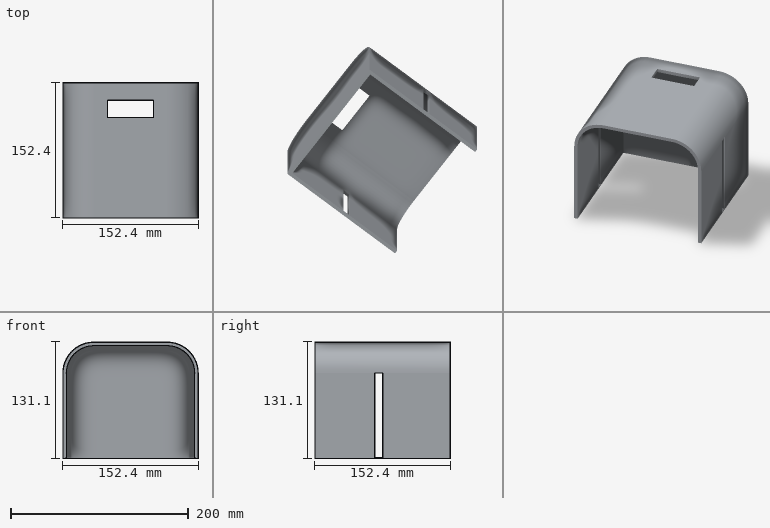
import cadquery as cq

width = 152.4
depth = 152.4
height = 131.1

wall = 4.0
outer_radius = 35.0
inner_radius = outer_radius - wall

slot_width = 8.75
slot_back_y = 0.0
sill_height = 1.0
slot_top_z = height - outer_radius

window_length = 51.3
window_width = 19.2
window_back_margin = 20.0


def arch_block(block_width, block_height, radius, length):
    """Block with rounded upper long edges, its rear face at the back of the part."""
    return (
        cq.Workplane("XY")
        .box(block_width, length, block_height, centered=(True, False, False))
        .translate((0, depth / 2 - length, 0))
        .edges("|Y and >Z")
        .fillet(radius)
    )


def make_shell():
    """Round-shouldered cover, open at the front and bottom, closed at the back."""
    outer = arch_block(width, height, outer_radius, depth)
    cavity = arch_block(width - 2 * wall, height - wall, inner_radius, depth).translate((0, -wall, 0))
    return outer.cut(cavity)


def make_side_slots():
    """Single bar that pierces both side walls."""
    return (
        cq.Workplane("XY")
        .box(width, slot_width, slot_top_z - sill_height, centered=(True, False, False))
        .translate((0, slot_back_y - slot_width, sill_height))
    )


def make_roof_window():
    """Block that pierces the roof near the back wall."""
    return (
        cq.Workplane("XY")
        .box(window_length, window_width, wall, centered=(True, False, False))
        .translate((0, depth / 2 - window_back_margin - window_width, height - wall))
    )


result = make_shell().cut(make_side_slots()).cut(make_roof_window())